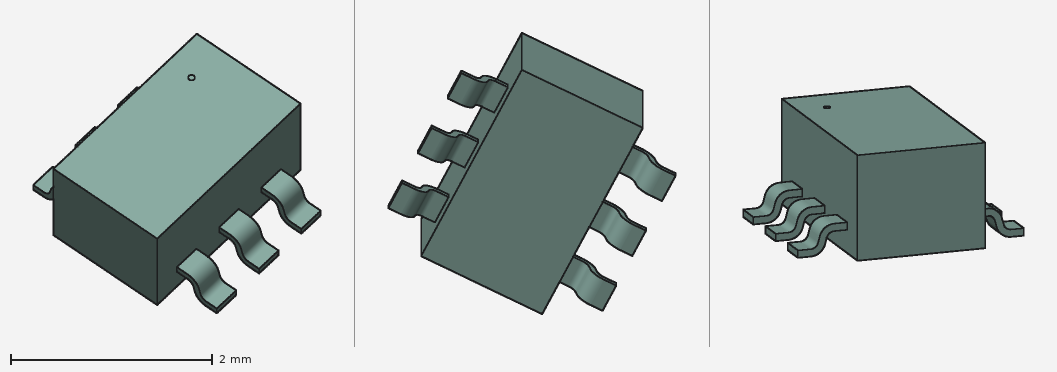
import cadquery as cq
import math

BODY_LENGTH_X = 1.35
BODY_WIDTH_Y = 2.207
BODY_HEIGHT = 1.09

LEAD_SPAN = 2.3885
LEAD_WIDTH = 0.30
LEAD_THICKNESS = 0.0775
LEAD_TOP_HEIGHT = 0.3175
LEAD_PITCH = 0.65
LEADS_PER_SIDE = 3
BEND_INNER_RADIUS = 0.08
BEND_ANGLE = 75.0

MARK_DIAMETER = 0.067
MARK_THICKNESS = 0.0025
MARK_X = -0.36
MARK_Y = LEAD_PITCH


def make_body():
    """Plain rectangular block."""
    return cq.Workplane("XY").box(BODY_LENGTH_X, BODY_WIDTH_Y, BODY_HEIGHT, centered=(True, True, False))


def make_mark():
    """Thin disc that rests on the top of the body, beside the end lead on the -X side."""
    top_face = cq.Workplane("XY", origin=(MARK_X, MARK_Y, BODY_HEIGHT))
    return top_face.circle(MARK_DIAMETER / 2).extrude(MARK_THICKNESS)


def make_lead():
    """Lead on the +X side at Y = 0: shoulder, two equal and opposite bends, and a foot on Z = 0."""
    angle = math.radians(BEND_ANGLE)
    outer_radius = BEND_INNER_RADIUS + LEAD_THICKNESS
    bend_radius_sum = outer_radius + BEND_INNER_RADIUS

    drop = LEAD_TOP_HEIGHT - LEAD_THICKNESS
    leg_drop = drop - bend_radius_sum * (1 - math.cos(angle))
    leg_length = leg_drop / math.sin(angle)
    leg_run = leg_length * math.cos(angle)
    bends_run = bend_radius_sum * math.sin(angle) + leg_run

    inner_end = BODY_LENGTH_X / 2
    outer_end = LEAD_SPAN / 2
    flat_length = (outer_end - inner_end - bends_run) / 2
    shoulder_end = inner_end + flat_length
    foot_start = outer_end - flat_length

    upper_centre_z = LEAD_TOP_HEIGHT - outer_radius
    lower_centre_z = outer_radius

    def on_upper_bend(radius, turn):
        return (shoulder_end + radius * math.sin(turn), upper_centre_z + radius * math.cos(turn))

    def on_lower_bend(radius, turn):
        return (foot_start - radius * math.sin(turn), lower_centre_z - radius * math.cos(turn))

    profile = (
        cq.Workplane("XZ", origin=(0, LEAD_WIDTH / 2, 0))
        .moveTo(inner_end, LEAD_TOP_HEIGHT)
        .lineTo(shoulder_end, LEAD_TOP_HEIGHT)
        .threePointArc(on_upper_bend(outer_radius, angle / 2), on_upper_bend(outer_radius, angle))
        .lineTo(*on_lower_bend(BEND_INNER_RADIUS, angle))
        .threePointArc(on_lower_bend(BEND_INNER_RADIUS, angle / 2), on_lower_bend(BEND_INNER_RADIUS, 0))
        .lineTo(outer_end, LEAD_THICKNESS)
        .lineTo(outer_end, 0)
        .lineTo(foot_start, 0)
        .threePointArc(on_lower_bend(outer_radius, angle / 2), on_lower_bend(outer_radius, angle))
        .lineTo(*on_upper_bend(BEND_INNER_RADIUS, angle))
        .threePointArc(on_upper_bend(BEND_INNER_RADIUS, angle / 2), on_upper_bend(BEND_INNER_RADIUS, 0))
        .lineTo(inner_end, LEAD_TOP_HEIGHT - LEAD_THICKNESS)
        .close()
    )
    return profile.extrude(LEAD_WIDTH)


def make_leads():
    """One row of leads on each X side, each copy a separate solid."""
    right_lead = make_lead()
    left_lead = right_lead.mirror("YZ")
    leads = []
    for row in range(LEADS_PER_SIDE):
        lead_y = (row - (LEADS_PER_SIDE - 1) / 2) * LEAD_PITCH
        for lead in (left_lead, right_lead):
            leads.append(lead.translate((0, lead_y, 0)).val())
    return leads


body = make_body()
pin_one_mark = make_mark()
leads = make_leads()

result = cq.Compound.makeCompound([body.val(), pin_one_mark.val(), *leads])